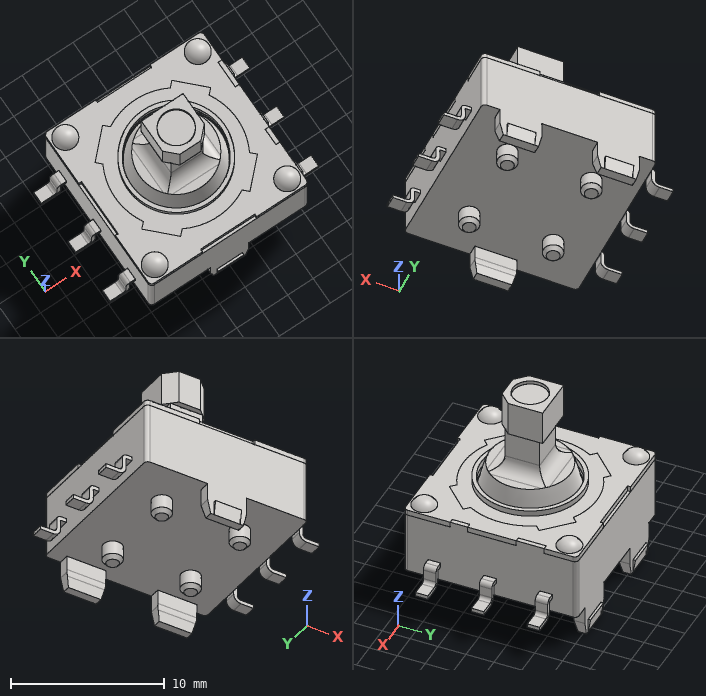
import cadquery as cq
import math

BODY_SIDE = 12.43
BODY_CORNER_RADIUS = 0.3
HOUSING_HEIGHT = 4.58
COVER_THICKNESS = 0.4
COVER_TOP = HOUSING_HEIGHT + COVER_THICKNESS
BODY_HALF = BODY_SIDE / 2

RIVET_DIAMETER = 1.75
RIVET_DOME_HEIGHT = 0.55
RIVET_OFFSET = 5.2

POST_DIAMETER = 1.4
POST_TIP_DIAMETER = 0.9
POST_LENGTH = 1.3
POST_TIP_LENGTH = 0.3
POST_OFFSET = 3.0

TERMINAL_SPAN = 16.4
TERMINAL_PITCH = 4.0
TERMINAL_WIDTH = 0.9
TERMINAL_THICKNESS = 0.3
TERMINAL_TOP = 1.4
TERMINAL_BOTTOM = -0.21
TERMINAL_RISER_X = 6.95
UPPER_BEND_RADIUS = 0.05
LOWER_BEND_RADIUS = 0.26

LEG_WIDTH = 3.0
LEG_TIP_WIDTH = 2.53
LEG_DEPTH = 0.8
LEG_TIP_DEPTH = 0.6
LEG_LENGTH = 2.31
LEG_TAPER_START = 1.28
LEG_INNER_TAPER_START = 1.31
LEG_INNER_BLEND_RADIUS = 2.46
BARB_WIDTH = 2.0
BARB_DEPTH = 0.18
REAR_LEG_X = 3.5

NOTCH_LENGTH = 4.25
NOTCH_DEPTH = 0.21
COLLAR_DIAMETER = 7.61
COLLAR_BORE = 7.0
COLLAR_HEIGHT = 0.43
COLLAR_TOP = COVER_TOP + COLLAR_HEIGHT
POCKET_ROOF = 0.05

LUG_DEPTH = 0.33
LUGS = ((2.85, 2.0), (-2.25, 1.25))

RETAINER_THICKNESS = COVER_THICKNESS - POCKET_ROOF
DISC_RADIUS = 4.79
TAB_WIDTH = 2.57
TAB_REACH = 5.13

STEM_BASE_DIAMETER = 6.9
STEM_SHOULDER_RADIUS = 2.9
STEM_SHOULDER_Z = 6.48
STEM_RADIUS_AT_COLLAR = 3.25
SHAFT_SIDE = 2.5
SHAFT_FLARE_RADIUS = 1.0

CAP_SIDE = 3.3
CAP_CHAMFER = 0.82
CAP_HEIGHT = 2.5
CAP_TOP = 12.19
CAP_BOTTOM = CAP_TOP - CAP_HEIGHT
CAP_BORE = 2.5
CAP_RECESS = 0.25


def rounded_plate(bottom, height):
    """Square plate with rounded vertical edges."""
    plate = cq.Workplane("XY").workplane(offset=bottom).rect(BODY_SIDE, BODY_SIDE).extrude(height)
    return plate.edges("|Z").fillet(BODY_CORNER_RADIUS)


def cylinder(radius, bottom, height):
    """Cylinder on the Z axis."""
    return cq.Workplane("XY").workplane(offset=bottom).circle(radius).extrude(height)


def make_rivet(x, y):
    """Round stud through the cover, ending in a domed head."""
    radius = RIVET_DIAMETER / 2
    sphere_radius = (radius**2 + RIVET_DOME_HEIGHT**2) / (2 * RIVET_DOME_HEIGHT)
    half_angle = math.asin(radius / sphere_radius) / 2
    centre_z = COVER_TOP + RIVET_DOME_HEIGHT - sphere_radius
    mid_point = (sphere_radius * math.sin(half_angle), centre_z + sphere_radius * math.cos(half_angle))
    profile = (
        cq.Workplane("XZ")
        .moveTo(0, HOUSING_HEIGHT)
        .lineTo(radius, HOUSING_HEIGHT)
        .lineTo(radius, COVER_TOP)
        .threePointArc(mid_point, (0, COVER_TOP + RIVET_DOME_HEIGHT))
        .close()
    )
    return profile.revolve(360, (0, 0), (0, 1)).translate((x, y, 0))


def make_post(x, y):
    """Locating post with a conical tip, below the housing."""
    radius = POST_DIAMETER / 2
    tip_radius = POST_TIP_DIAMETER / 2
    profile = (
        cq.Workplane("XZ")
        .polyline([
            (0, 0),
            (radius, 0),
            (radius, POST_TIP_LENGTH - POST_LENGTH),
            (tip_radius, -POST_LENGTH),
            (0, -POST_LENGTH),
        ])
        .close()
    )
    return profile.revolve(360, (0, 0), (0, 1)).translate((x, y, 0))


def make_terminal(y):
    """Gull-wing terminal leaving the +X side of the housing."""
    riser_inner = TERMINAL_RISER_X - TERMINAL_THICKNESS
    foot_top = TERMINAL_BOTTOM + TERMINAL_THICKNESS
    upper_under = TERMINAL_TOP - TERMINAL_THICKNESS
    foot_end = TERMINAL_SPAN / 2
    upper_outer_radius = UPPER_BEND_RADIUS + TERMINAL_THICKNESS
    lower_outer_radius = LOWER_BEND_RADIUS + TERMINAL_THICKNESS
    upper_bend_x = TERMINAL_RISER_X - upper_outer_radius
    upper_bend_z = TERMINAL_TOP - upper_outer_radius
    lower_bend_x = TERMINAL_RISER_X + LOWER_BEND_RADIUS
    lower_bend_z = foot_top + LOWER_BEND_RADIUS
    profile = (
        cq.Workplane("XZ", origin=(0, y + TERMINAL_WIDTH / 2, 0))
        .moveTo(BODY_HALF, upper_under)
        .lineTo(BODY_HALF, TERMINAL_TOP)
        .lineTo(upper_bend_x, TERMINAL_TOP)
        .radiusArc((TERMINAL_RISER_X, upper_bend_z), upper_outer_radius)
        .lineTo(TERMINAL_RISER_X, lower_bend_z)
        .radiusArc((lower_bend_x, foot_top), -LOWER_BEND_RADIUS)
        .lineTo(foot_end, foot_top)
        .lineTo(foot_end, TERMINAL_BOTTOM)
        .lineTo(lower_bend_x, TERMINAL_BOTTOM)
        .radiusArc((riser_inner, lower_bend_z), lower_outer_radius)
        .lineTo(riser_inner, upper_bend_z)
        .radiusArc((upper_bend_x, upper_under), -UPPER_BEND_RADIUS)
        .close()
    )
    return profile.extrude(TERMINAL_WIDTH)


def make_leg(x):
    """Tapered snap leg with an outward barb, flush with the -Y side of the housing."""
    face_outline = (
        cq.Workplane("XZ", origin=(0, BODY_HALF, 0))
        .polyline([
            (-LEG_WIDTH / 2, 0),
            (LEG_WIDTH / 2, 0),
            (LEG_WIDTH / 2, -LEG_TAPER_START),
            (LEG_TIP_WIDTH / 2, -LEG_LENGTH),
            (-LEG_TIP_WIDTH / 2, -LEG_LENGTH),
            (-LEG_WIDTH / 2, -LEG_TAPER_START),
        ])
        .close()
        .extrude(BODY_SIDE)
    )
    leg = (
        cq.Workplane("YZ", origin=(-LEG_WIDTH / 2, 0, 0))
        .polyline([
            (-BODY_HALF, 0),
            (-BODY_HALF + LEG_DEPTH, 0),
            (-BODY_HALF + LEG_DEPTH, -LEG_INNER_TAPER_START),
            (-BODY_HALF + LEG_TIP_DEPTH, -LEG_LENGTH),
            (-BODY_HALF, -LEG_LENGTH),
        ])
        .close()
        .extrude(LEG_WIDTH)
    )
    inner_bend = cq.selectors.NearestToPointSelector((0, -BODY_HALF + LEG_DEPTH, -LEG_INNER_TAPER_START))
    leg = leg.edges(inner_bend).fillet(LEG_INNER_BLEND_RADIUS)
    barb = (
        cq.Workplane("YZ", origin=(-BARB_WIDTH / 2, 0, 0))
        .polyline([
            (-BODY_HALF, -LEG_TAPER_START),
            (-BODY_HALF - BARB_DEPTH, -LEG_TAPER_START),
            (-BODY_HALF, -LEG_LENGTH),
        ])
        .close()
        .extrude(BARB_WIDTH)
    )
    return leg.intersect(face_outline).union(barb).translate((x, 0, 0))


def half_turn(shape):
    """The shape turned 180 degrees about the Z axis."""
    return shape.rotate((0, 0, 0), (0, 0, 1), 180)


def make_housing():
    """Box with its rivets, posts, terminals, lugs and snap legs."""
    housing = rounded_plate(0, HOUSING_HEIGHT)
    for side_x in (-1, 1):
        for side_y in (-1, 1):
            housing = housing.union(make_rivet(side_x * RIVET_OFFSET, side_y * RIVET_OFFSET))
            housing = housing.union(make_post(side_x * POST_OFFSET, side_y * POST_OFFSET))
    for row in (-1, 0, 1):
        terminal = make_terminal(row * TERMINAL_PITCH)
        housing = housing.union(terminal).union(half_turn(terminal))
    for centre_y, length in LUGS:
        housing = housing.union(edge_block(centre_y, length, LUG_DEPTH))
    housing = housing.union(make_leg(0))
    for side_x in (-1, 1):
        housing = housing.union(half_turn(make_leg(side_x * REAR_LEG_X)))
    return housing


def edge_block(centre_y, length, depth):
    """Block as thick as the cover, reaching inward from the +X side of the body."""
    block = cq.Workplane("XY").box(depth, length, COVER_THICKNESS)
    return block.translate((BODY_HALF - depth / 2, centre_y, HOUSING_HEIGHT + COVER_THICKNESS / 2))


def make_cover():
    """Plate with a collar, opened for the rivets, the lugs, the retainer and the stem."""
    collar = cylinder(COLLAR_DIAMETER / 2, COVER_TOP, COLLAR_HEIGHT)
    cover = rounded_plate(HOUSING_HEIGHT, COVER_THICKNESS).union(collar)
    for angle in (90, 180, 270):
        notch = edge_block(0, NOTCH_LENGTH, NOTCH_DEPTH)
        cover = cover.cut(notch.rotate((0, 0, 0), (0, 0, 1), angle))
    for centre_y, length in LUGS:
        cover = cover.cut(edge_block(centre_y, length, LUG_DEPTH))
    for side_x in (-1, 1):
        for side_y in (-1, 1):
            cover = cover.cut(make_rivet(side_x * RIVET_OFFSET, side_y * RIVET_OFFSET))
    return cover.cut(tabbed_disc()).cut(stem_opening())


def stem_opening():
    """Round opening for the stem, from the housing to the top of the collar."""
    return cylinder(COLLAR_BORE / 2, HOUSING_HEIGHT, COLLAR_TOP - HOUSING_HEIGHT)


def tabbed_disc():
    """Solid disc with four diagonal tabs, resting on the housing."""
    disc = cylinder(DISC_RADIUS, HOUSING_HEIGHT, RETAINER_THICKNESS)
    for angle in (45, 135):
        tabs = (
            cq.Workplane("XY")
            .workplane(offset=HOUSING_HEIGHT)
            .rect(2 * TAB_REACH, TAB_WIDTH)
            .extrude(RETAINER_THICKNESS)
        )
        disc = disc.union(tabs.rotate((0, 0, 0), (0, 0, 1), angle))
    return disc


def make_retainer():
    """Tabbed disc in the pocket of the cover, open around the base of the stem."""
    return tabbed_disc().cut(stem_opening())


def make_stem():
    """Domed base, flared square shaft and round spigot inside the cap."""
    base_profile = (
        cq.Workplane("XZ")
        .moveTo(0, HOUSING_HEIGHT)
        .lineTo(STEM_BASE_DIAMETER / 2, HOUSING_HEIGHT)
        .threePointArc((STEM_RADIUS_AT_COLLAR, COLLAR_TOP), (STEM_SHOULDER_RADIUS, STEM_SHOULDER_Z))
        .lineTo(0, STEM_SHOULDER_Z)
        .close()
    )
    base = base_profile.revolve(360, (0, 0), (0, 1))
    shoulder = cq.Workplane("XY").workplane(offset=STEM_SHOULDER_Z)
    spigot = cylinder(CAP_BORE / 2, CAP_BOTTOM, CAP_HEIGHT - CAP_RECESS)
    shaft = shoulder.rect(SHAFT_SIDE, SHAFT_SIDE).extrude(CAP_BOTTOM - STEM_SHOULDER_Z)
    flare_limit = cylinder(STEM_SHOULDER_RADIUS, STEM_SHOULDER_Z, SHAFT_FLARE_RADIUS)
    flare = make_flare().intersect(flare_limit)
    return base.union(shaft).union(flare).union(spigot)


def make_flare():
    """Square foot of the shaft whose four sides sweep outward in quarter circles."""
    half_top = SHAFT_SIDE / 2
    half_foot = half_top + SHAFT_FLARE_RADIUS
    flare_top = STEM_SHOULDER_Z + SHAFT_FLARE_RADIUS

    def flared_bar(plane, origin):
        return (
            cq.Workplane(plane, origin=origin)
            .moveTo(-half_foot, STEM_SHOULDER_Z)
            .radiusArc((-half_top, flare_top), -SHAFT_FLARE_RADIUS)
            .lineTo(half_top, flare_top)
            .radiusArc((half_foot, STEM_SHOULDER_Z), -SHAFT_FLARE_RADIUS)
            .close()
            .extrude(2 * half_foot)
        )

    across_x = flared_bar("XZ", (0, half_foot, 0))
    across_y = flared_bar("YZ", (-half_foot, 0, 0))
    return across_x.intersect(across_y)


def make_cap():
    """Square knob with two chamfered corners and a bore for the stem."""
    cap = cq.Workplane("XY").workplane(offset=CAP_BOTTOM).rect(CAP_SIDE, CAP_SIDE).extrude(CAP_HEIGHT)
    cap = cap.edges("|Z and <Y").chamfer(CAP_CHAMFER)
    return cap.faces(">Z").workplane().hole(CAP_BORE)


housing = make_housing()
cover = make_cover()
retainer = make_retainer()
stem = make_stem()
cap = make_cap()

result = cq.Compound.makeCompound([housing.val(), cover.val(), retainer.val(), stem.val(), cap.val()])